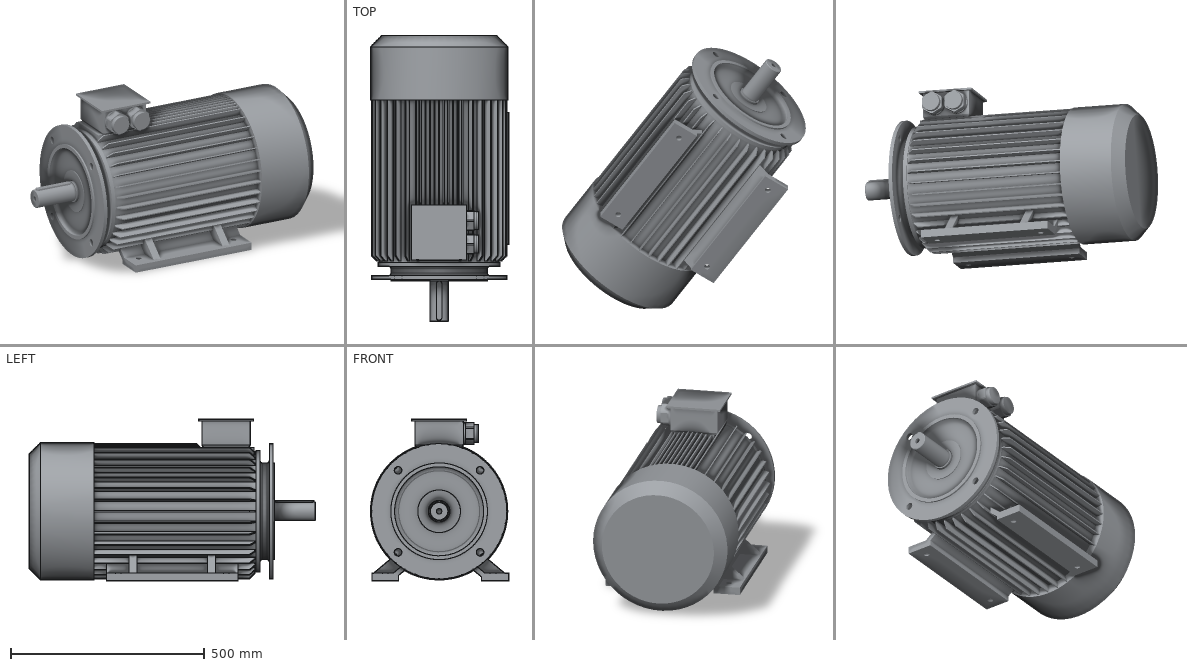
import cadquery as cq
import math


shaft_dia = 48.0
shaft_end_chamfer = 1.5
shoulder_dia = 55.0
shoulder_face = 109.0
center_hole_dia = 14.0
center_hole_depth = 29.5
drill_point_angle = 118
key_width = 14.0
key_top = 27.5
key_front = 4.0
key_back = 105.0
key_end_radius = key_width / 2 * 0.99

spigot_face = 105.0
flange_face = 109.5
flange_back = 119.0
bell_front = 143.0
bell_back = 153.0
spigot_dia = 250.0
flange_dia = 350.0
bell_dia = 315.0
neck_fillet = 6.0
recess_dia = 230.0
recess_depth = 12.0
recess_fillet = 10.0
cap_dia = 110.0
cap_height = 2.0
seal_bore_dia = 56.0
flange_hole_dia = 19.0
flange_bolt_circle = 300.0

core_dia = 310.0
fin_tip_dia = flange_dia
fin_front = 156.0
fin_thickness = 3.0
fin_step = 10
fin_chamfer = 14.0
top_gap_half_angle = 20
top_fin_count = 9
top_fin_pitch = 12.0
top_fin_front = 293.0

cowl_front = 573.0
cowl_back = 740.0
cowl_dia = 355.0
cowl_chamfer = 29.5

box_center_y = 231.0
lid_side = 142.0
lid_top = 238.0
lid_thickness = 5.0
box_side = 125.0
box_taper_height = 6.0
box_taper_depth = 4.0
pad_top = 165.0
pad_width = 106.5
pad_front = 158.0

gland_spacing = 61.0
gland_z = 201.0
gland_collar_dia = 56.0
gland_collar_end = 69.0
hex_across_flats = 52.0
hex_corner_dia = 58.0
hex_end = 90.0
gland_cap_dia = 47.0
gland_cap_end = 101.5
gland_cap_taper_length = 5.0
gland_cap_taper_depth = 1.0

foot_bottom = -180.0
foot_thickness = 20.0
foot_length = 341.0
foot_center_y = 370.0
left_foot_span = (104.0, 174.0)
right_foot_span = (109.5, 180.5)
web_slope = 40
web_root_x = 118.5
web_inner_x = 89.0
web_thickness = 13.0
rib_root_x = 169.5
rib_width = 20.0
rib_spacing = 203.0
foot_hole_dia = 15.0
foot_hole_x = 139.0
foot_hole_spacing = 279.0

fin_tip_radius = fin_tip_dia / 2
foot_top = foot_bottom + foot_thickness
recess_floor = spigot_face + recess_depth
overlap = 7.5


def cylinder_y(diameter, start, end):
    """Round bar along the motor axis between two Y positions."""
    return cq.Workplane("XZ", origin=(0, start, 0)).circle(diameter / 2).extrude(start - end)


def block(x_range, y_range, z_range):
    """Box given by its limits along each axis."""
    size = [high - low for low, high in (x_range, y_range, z_range)]
    low_corner = (x_range[0], y_range[0], z_range[0])
    return cq.Workplane("XY").box(*size, centered=False).translate(low_corner)


def centered_block(side, z_bottom, z_top):
    """Square block centred on the terminal box."""
    half = side / 2
    return block((-half, half), (box_center_y - half, box_center_y + half), (z_bottom, z_top))


def fin_envelope(front):
    """Round bar with a chamfered front edge that trims the fins."""
    return cylinder_y(fin_tip_dia, front, cowl_front).faces("<Y").chamfer(fin_chamfer)


def radial_fins():
    """Fins all round the barrel except across the crown."""
    half = fin_thickness / 2
    blade = block((0, fin_tip_radius + overlap), (fin_front, cowl_front), (-half, half))
    fins = cq.Workplane("XY")
    first = 90 + top_gap_half_angle
    last = 450 - top_gap_half_angle
    for angle in range(first, last + 1, fin_step):
        fins = fins.union(blade.rotate((0, 0, 0), (0, 1, 0), -angle))
    return fins.intersect(fin_envelope(fin_front))


def top_fins():
    """Close parallel fins on the crown of the barrel, behind the terminal box."""
    half = fin_thickness / 2
    y_range = (top_fin_front, cowl_front)
    z_range = (0, fin_tip_radius + overlap)
    fins = cq.Workplane("XY")
    for index in range(top_fin_count):
        x = (index - (top_fin_count - 1) / 2) * top_fin_pitch
        fins = fins.union(block((x - half, x + half), y_range, z_range))
    return fins.intersect(fin_envelope(top_fin_front))


def neck_corner(y):
    """Selector for the edge where the neck meets a wider disc at this Y position."""
    reach = spigot_dia / 2 + overlap
    margin = 0.1
    low = (-reach, y - margin, -reach)
    high = (reach, y + margin, reach)
    return cq.selectors.BoxSelector(low, high, boundingbox=True)


def end_bell_and_flange():
    neck = cylinder_y(spigot_dia, spigot_face, bell_front)
    flange = cylinder_y(flange_dia, flange_face, flange_back)
    bell = cylinder_y(bell_dia, bell_front, bell_back)
    body = neck.union(flange).union(bell)
    body = body.edges(neck_corner(flange_back) + neck_corner(bell_front)).fillet(neck_fillet)

    recess = cylinder_y(recess_dia, spigot_face - overlap, recess_floor)
    recess = recess.faces(">Y").edges().fillet(recess_fillet)
    cap = cylinder_y(cap_dia, recess_floor - cap_height, bell_back)
    seal_bore = cylinder_y(seal_bore_dia, spigot_face, recess_floor + overlap)
    body = body.cut(recess).union(cap).cut(seal_bore)

    bolt_offset = flange_bolt_circle / 2 * math.sqrt(0.5)
    bolt_hole = cylinder_y(flange_hole_dia, flange_face, flange_back)
    for x in (-bolt_offset, bolt_offset):
        for z in (-bolt_offset, bolt_offset):
            body = body.cut(bolt_hole.translate((x, 0, z)))
    return body


def shaft():
    bar = cylinder_y(shaft_dia, 0, bell_back).faces("<Y").chamfer(shaft_end_chamfer)
    shoulder = cylinder_y(shoulder_dia, shoulder_face, bell_back)
    half_key = key_width / 2
    key = block((-half_key, half_key), (key_front, key_back), (0, key_top))
    key = key.edges("|Z").fillet(key_end_radius)

    hole_radius = center_hole_dia / 2
    point_length = hole_radius / math.tan(math.radians(drill_point_angle / 2))
    hole = (
        cq.Workplane("XY")
        .polyline([
            (0, 0),
            (hole_radius, 0),
            (hole_radius, center_hole_depth),
            (0, center_hole_depth + point_length),
        ])
        .close()
        .revolve(360, (0, 0, 0), (0, 1, 0))
    )
    return bar.union(shoulder).union(key).cut(hole)


def fan_cowl():
    return cylinder_y(cowl_dia, cowl_front, cowl_back).faces(">Y").chamfer(cowl_chamfer)


def terminal_box():
    half_pad = pad_width / 2
    pad = block((-half_pad, half_pad), (pad_front, top_fin_front), (0, pad_top))
    box = centered_block(box_side, pad_top, lid_top)
    box = box.faces("<Z").chamfer(box_taper_height, box_taper_depth)
    lid = centered_block(lid_side, lid_top - lid_thickness, lid_top)
    return pad.union(box).union(lid)


def cable_gland(y):
    """Collar, hexagon nut and tapered cap on the +X wall of the terminal box."""
    wall = box_side / 2

    def axis_plane(x):
        return cq.Workplane("YZ", origin=(x, y, gland_z))

    collar = axis_plane(wall).circle(gland_collar_dia / 2).extrude(gland_collar_end - wall)
    hex_length = hex_end - gland_collar_end
    corner_to_corner = hex_across_flats / math.cos(math.radians(30))
    nut = axis_plane(gland_collar_end).polygon(6, corner_to_corner).extrude(hex_length)
    nut = nut.rotate((0, y, gland_z), (1, y, gland_z), 90)
    nut = nut.intersect(axis_plane(gland_collar_end).circle(hex_corner_dia / 2).extrude(hex_length))
    cap = axis_plane(hex_end).circle(gland_cap_dia / 2).extrude(gland_cap_end - hex_end)
    cap = cap.faces(">X").chamfer(gland_cap_taper_length, gland_cap_taper_depth)
    return collar.union(nut).union(cap)


def foot(side, span):
    """Foot on one side (-1 left, +1 right): pad, sloping web and two ribs."""
    y_start = foot_center_y - foot_length / 2
    x_range = sorted(side * x for x in span)
    body = block(x_range, (y_start, y_start + foot_length), (foot_bottom, foot_top))

    def profile(points, start, width):
        mirrored = [(side * x, z) for x, z in points]
        return cq.Workplane("XZ", origin=(0, start, 0)).polyline(mirrored).close().extrude(-width)

    slope = math.tan(math.radians(web_slope))
    drop = web_thickness / math.cos(math.radians(web_slope))
    web_top = foot_top + (web_root_x - web_inner_x) * slope
    web_points = [
        (web_inner_x, web_top),
        (web_root_x, foot_top),
        (web_root_x, foot_top - drop),
        (web_inner_x, web_top - drop),
    ]
    body = body.union(profile(web_points, y_start, foot_length))

    rib_top = foot_top + (rib_root_x - web_inner_x) * slope
    rib_points = [
        (web_inner_x, rib_top),
        (rib_root_x, foot_top),
        (web_root_x, foot_top),
        (web_inner_x, web_top),
    ]
    for direction in (-1, 1):
        rib_y = foot_center_y + direction * rib_spacing / 2
        body = body.union(profile(rib_points, rib_y - rib_width / 2, rib_width))
        hole_y = foot_center_y + direction * foot_hole_spacing / 2
        hole = cq.Workplane("XY", origin=(side * foot_hole_x, hole_y, foot_bottom))
        body = body.cut(hole.circle(foot_hole_dia / 2).extrude(foot_thickness))
    return body


barrel = cylinder_y(core_dia, bell_back, cowl_front)
result = barrel.union(radial_fins()).union(top_fins()).union(fan_cowl())
result = result.union(end_bell_and_flange()).union(shaft()).union(terminal_box())
for offset in (-gland_spacing / 2, gland_spacing / 2):
    result = result.union(cable_gland(box_center_y + offset))
result = result.union(foot(-1, left_foot_span)).union(foot(1, right_foot_span))